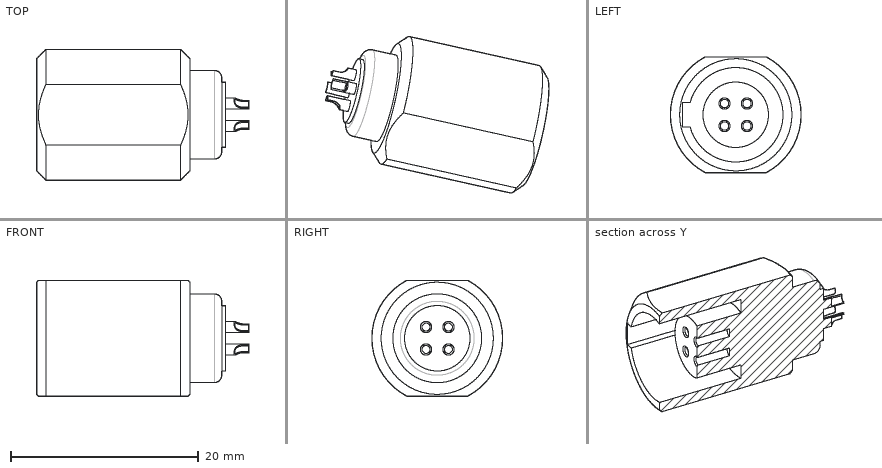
import cadquery as cq
import math


body_length = 16.4
body_radius = 7.0
across_flats = 12.4
chamfer = 1.0

collar_radius = 4.75
collar_length = 3.4
collar_round = 0.8
collar_end = body_length + collar_length

bore_radius = 5.05
bore_depth = 10.0
key_width = 2.65
key_reach = 5.7

insert_radius = 3.5
insert_face = 4.6
insert_rear_step = 0.4
insert_end = collar_end + insert_rear_step

contact_pitch = 2.4
contact_radius = 0.6
contact_end = 22.7
contact_hole_radius = 0.45
contact_hole_depth = 4.0
hole_chamfer = contact_radius - contact_hole_radius

cup_radius = 0.425
cup_depth = 1.5
pin_full_length = 0.9
cup_cut_start = insert_end + pin_full_length
cup_cut_radius = 1.0
cup_cut_level = -0.1
cup_cut_height = contact_radius - cup_cut_level
cup_cut_sweep = math.acos(1 - cup_cut_height / cup_cut_radius)
cup_flat_start = cup_cut_start + cup_cut_radius * math.sin(cup_cut_sweep)


def rod(radius, start, end, y=0, z=0):
    """Cylinder parallel to X between two X positions."""
    return cq.Workplane("YZ", origin=(start, y, z)).circle(radius).extrude(end - start)


def make_shell():
    barrel = rod(body_radius, 0, body_length).faces("<X or >X").chamfer(chamfer)
    flats = cq.Workplane("XY").box(
        body_length, 2 * body_radius, across_flats, centered=(False, True, True)
    )
    collar = rod(collar_radius, body_length, collar_end).faces(">X").edges().fillet(collar_round)
    return barrel.intersect(flats).union(collar)


def make_socket():
    keyway = cq.Workplane("XY").box(
        bore_depth, key_reach, key_width, centered=(False, False, True)
    )
    return rod(bore_radius, 0, bore_depth).union(keyway)


def make_contact_hole(y, z):
    hole = rod(contact_hole_radius, insert_face, insert_face + contact_hole_depth, y, z)
    lead_in = (
        cq.Workplane("YZ", origin=(insert_face, y, z))
        .circle(contact_radius)
        .workplane(offset=hole_chamfer)
        .circle(contact_hole_radius)
        .loft()
    )
    return hole.union(lead_in)


def make_solder_pin(y, z):
    """Pin whose cup opens away from the connector axis."""
    pin = rod(contact_radius, insert_end, contact_end)
    cup = rod(cup_radius, contact_end - cup_depth, contact_end)
    half_sweep = cup_cut_sweep / 2
    arc_middle = (
        cup_flat_start - cup_cut_radius * math.sin(half_sweep),
        cup_cut_level + cup_cut_radius * (1 - math.cos(half_sweep)),
    )
    cut_away = (
        cq.Workplane("XZ")
        .moveTo(cup_cut_start, contact_radius)
        .threePointArc(arc_middle, (cup_flat_start, cup_cut_level))
        .lineTo(contact_end, cup_cut_level)
        .lineTo(contact_end, contact_radius)
        .close()
        .extrude(contact_radius, both=True)
    )
    outward_angle = math.degrees(math.atan2(-y, z))
    return (
        pin.cut(cup)
        .cut(cut_away)
        .rotate((0, 0, 0), (1, 0, 0), outward_angle)
        .translate((0, y, z))
    )


result = make_shell().cut(make_socket()).union(rod(insert_radius, insert_face, insert_end))

for y_side in (-1, 1):
    for z_side in (-1, 1):
        contact_y = y_side * contact_pitch / 2
        contact_z = z_side * contact_pitch / 2
        result = result.cut(make_contact_hole(contact_y, contact_z))
        result = result.union(make_solder_pin(contact_y, contact_z))